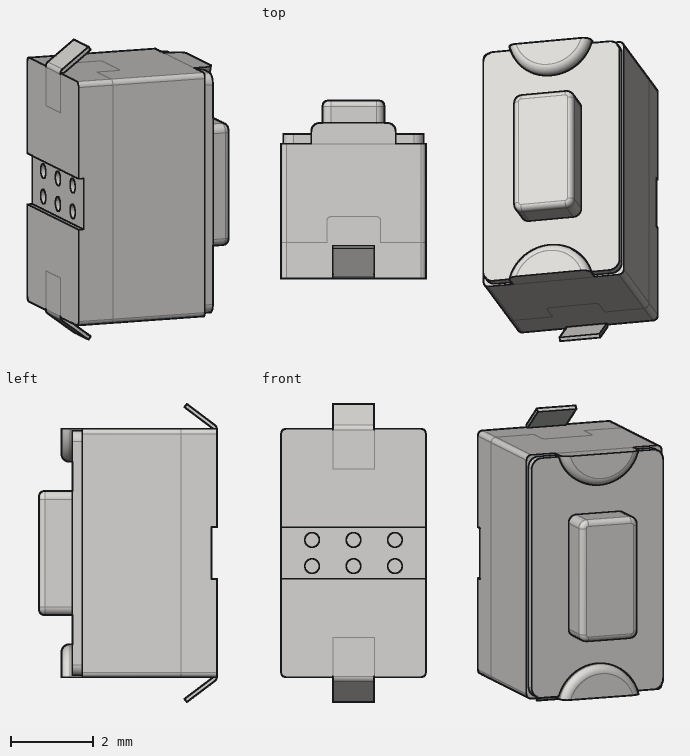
import math
import cadquery as cq


HOUSING_WIDTH = 3.5
HOUSING_HEIGHT = 6.0
HOUSING_DEPTH = 3.26
HOUSING_CORNER_RADIUS = 0.125
HOUSING_HALF_HEIGHT = HOUSING_HEIGHT / 2

BASE_DEPTH = 0.88
TONGUE_WIDTH = 1.3
TONGUE_TIP_Y = 1.5
TONGUE_CORNER_RADIUS = 0.1
TONGUE_THICKNESS = 0.1

PLATE_WIDTH = 3.4
PLATE_HEIGHT = 5.9
PLATE_FACE_Y = 3.49
PLATE_CORNER_RADIUS = 0.25

BUTTON_WIDTH = 1.5
BUTTON_HEIGHT = 3.0
BUTTON_FACE_Y = 4.3
BUTTON_CORNER_RADIUS = 0.2
BUTTON_EDGE_RADIUS = 0.14

STOP_WIDTH = 2.04
STOP_LENGTH = 0.8
STOP_FACE_Y = 3.76
STOP_EDGE_RADIUS = 0.2

TERMINAL_WIDTH = 1.0
TERMINAL_THICKNESS = 0.1
TERMINAL_SPAN = 7.2
LEG_START_Z = 2.03
BEND_START_Z = 2.975
BEND_OUTER_RADIUS = 0.15
BEND_INNER_RADIUS = BEND_OUTER_RADIUS - TERMINAL_THICKNESS
BEND_ANGLE = math.radians(53)

GROOVE_HEIGHT = 1.25
GROOVE_DEPTH = 0.13
HOLE_DIAMETER = 0.35
HOLE_DEPTH = 0.15
HOLE_COLUMNS = 3
HOLE_ROWS = 2
HOLE_COLUMN_PITCH = 1.0
HOLE_ROW_PITCH = 0.63


def block(width, height, y_start, y_end):
    """Box centred on X and Z that spans y_start to y_end."""
    depth = y_end - y_start
    return cq.Workplane("XY").box(width, depth, height).translate((0, y_start + depth / 2, 0))


def both_ends(top_feature):
    """The +Z feature and its mirror image at -Z."""
    return [top_feature, top_feature.mirror("XY")]


def make_tongue():
    """Flush tongue of the base in the top end face, with rounded front corners."""
    top = HOUSING_HALF_HEIGHT
    tongue = cq.Workplane("XY").box(
        TONGUE_WIDTH, TONGUE_TIP_Y, TONGUE_THICKNESS, centered=(True, False, False)
    )
    tongue = tongue.edges("|Z and >Y").fillet(TONGUE_CORNER_RADIUS)
    return tongue.translate((0, 0, top - TONGUE_THICKNESS))


def make_housing():
    """Base and cover joined flush; their parting line is kept on the outer faces."""
    housing = block(HOUSING_WIDTH, HOUSING_HEIGHT, 0, HOUSING_DEPTH)
    housing = housing.edges("|Y").fillet(HOUSING_CORNER_RADIUS)
    base = housing.intersect(block(HOUSING_WIDTH, HOUSING_HEIGHT, 0, BASE_DEPTH))
    for tongue in both_ends(make_tongue()):
        base = base.union(tongue)
    cover = housing.cut(base)
    return base.union(cover, clean=False)


def make_plate():
    plate = block(PLATE_WIDTH, PLATE_HEIGHT, HOUSING_DEPTH, PLATE_FACE_Y)
    return plate.edges("|Y").fillet(PLATE_CORNER_RADIUS)


def make_button():
    button = block(BUTTON_WIDTH, BUTTON_HEIGHT, PLATE_FACE_Y, BUTTON_FACE_Y)
    button = button.edges("|Y").fillet(BUTTON_CORNER_RADIUS)
    return button.faces(">Y").edges().fillet(BUTTON_EDGE_RADIUS)


def make_stop():
    """Disc segment at the top end, flush with the end face, its curved front edge rounded."""
    half_width = STOP_WIDTH / 2
    radius = (half_width**2 + STOP_LENGTH**2) / (2 * STOP_LENGTH)
    center_z = HOUSING_HALF_HEIGHT - STOP_LENGTH + radius
    thickness = STOP_FACE_Y - HOUSING_DEPTH
    disc = (
        cq.Workplane("XZ", origin=(0, HOUSING_DEPTH, center_z))
        .circle(radius)
        .extrude(-thickness)
        .faces(">Y")
        .edges()
        .fillet(STOP_EDGE_RADIUS)
    )
    return disc.intersect(block(HOUSING_WIDTH, HOUSING_HEIGHT, HOUSING_DEPTH, STOP_FACE_Y))


def make_terminal():
    """Strip along the back face at the top end, bent forward over the end face."""

    def bend_point(radius, angle):
        y = BEND_OUTER_RADIUS - radius * math.cos(angle)
        z = BEND_START_Z + radius * math.sin(angle)
        return (y, z)

    outer_end = bend_point(BEND_OUTER_RADIUS, BEND_ANGLE)
    inner_end = bend_point(BEND_INNER_RADIUS, BEND_ANGLE)
    lip_length = (TERMINAL_SPAN / 2 - outer_end[1]) / math.cos(BEND_ANGLE)
    lip_y = lip_length * math.sin(BEND_ANGLE)
    lip_z = lip_length * math.cos(BEND_ANGLE)
    profile = (
        cq.Workplane("YZ", origin=(-TERMINAL_WIDTH / 2, 0, 0))
        .moveTo(0, LEG_START_Z)
        .lineTo(0, BEND_START_Z)
        .threePointArc(bend_point(BEND_OUTER_RADIUS, BEND_ANGLE / 2), outer_end)
        .lineTo(outer_end[0] + lip_y, outer_end[1] + lip_z)
        .lineTo(inner_end[0] + lip_y, inner_end[1] + lip_z)
        .lineTo(*inner_end)
        .threePointArc(bend_point(BEND_INNER_RADIUS, BEND_ANGLE / 2), (TERMINAL_THICKNESS, BEND_START_Z))
        .lineTo(TERMINAL_THICKNESS, LEG_START_Z)
        .close()
    )
    return profile.extrude(TERMINAL_WIDTH)


def make_leg_slot():
    """Slot in the back face that seats the terminal leg and opens through the top end face."""
    slot = cq.Workplane("XY").box(
        TERMINAL_WIDTH,
        TERMINAL_THICKNESS,
        HOUSING_HALF_HEIGHT - LEG_START_Z,
        centered=(True, False, False),
    )
    return slot.translate((0, 0, LEG_START_Z))


def make_holes():
    """Grid of blind holes that start at the groove floor."""
    return (
        cq.Workplane("XZ", origin=(0, GROOVE_DEPTH, 0))
        .rarray(HOLE_COLUMN_PITCH, HOLE_ROW_PITCH, HOLE_COLUMNS, HOLE_ROWS)
        .circle(HOLE_DIAMETER / 2)
        .extrude(-HOLE_DEPTH)
    )


body = make_housing()
body = body.cut(block(HOUSING_WIDTH, GROOVE_HEIGHT, 0, GROOVE_DEPTH), clean=False)
body = body.cut(make_holes(), clean=False)
body = body.union(make_plate(), clean=False)
body = body.union(make_button(), clean=False)
for stop in both_ends(make_stop()):
    body = body.union(stop, clean=False)
for slot in both_ends(make_leg_slot()):
    body = body.cut(slot, clean=False)
for terminal in both_ends(make_terminal()):
    body = body.union(terminal, clean=False)

result = body